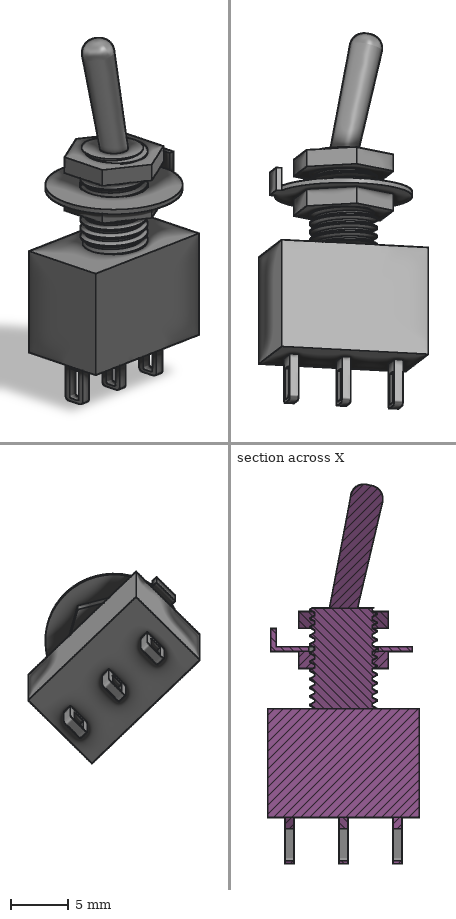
import cadquery as cq
import math


HOUSING_X = 7.95
HOUSING_Y = 13.2
HOUSING_Z = 9.5

TERMINAL_COUNT = 3
TERMINAL_SPACING = 4.7
TERMINAL_WIDTH = 2.1
TERMINAL_THICKNESS = 0.8
TERMINAL_LENGTH = 4.05
TERMINAL_CORNER_RADIUS = 0.4
SLOT_WIDTH = 1.1
SLOT_TOP_MARGIN = 1.0
SLOT_BOTTOM_MARGIN = 0.3
SLOT_CORNER_RADIUS = 0.2

BUSHING_LENGTH = 8.77
THREAD_ROOT_DIAMETER = 5.03
THREAD_CREST_DIAMETER = 5.9
THREAD_TURNS = 14
THREAD_LENGTH = 10.55
THREAD_PITCH = THREAD_LENGTH / THREAD_TURNS
THREAD_CREST_WIDTH = THREAD_PITCH / 8
THREAD_BASE_WIDTH = THREAD_PITCH * 3 / 4
THREAD_START = -0.63
THREAD_EMBED = 0.1

NUT_SIDES = 6
NUT_ACROSS_FLATS = 7.8
NUT_THICKNESS = 1.5
LOWER_NUT_HEIGHT = 3.48
UPPER_NUT_HEIGHT = 7.0

WASHER_DIAMETER = 12.0
WASHER_BORE_DIAMETER = 6.0
WASHER_THICKNESS = 0.43
TAB_WIDTH = 2.35
TAB_THICKNESS = 0.5
TAB_HEIGHT = 2.02
TAB_OUTER_Y = 6.35

LEVER_TILT = 12.0
LEVER_BASE_DIAMETER = 2.45
LEVER_TOP_DIAMETER = 2.88
LEVER_TIP_DIAMETER = 0.45
OVERALL_HEIGHT = 33.1

BUSHING_TOP = HOUSING_Z + BUSHING_LENGTH
LOWER_NUT_BOTTOM = HOUSING_Z + LOWER_NUT_HEIGHT
WASHER_BOTTOM = LOWER_NUT_BOTTOM + NUT_THICKNESS
UPPER_NUT_BOTTOM = HOUSING_Z + UPPER_NUT_HEIGHT


def make_housing():
    return cq.Workplane("XY").box(HOUSING_X, HOUSING_Y, HOUSING_Z, centered=(True, True, False))


def make_terminal(y):
    """Flat terminal hanging below the housing, slotted along Y and rounded at its lower end."""
    slot_height = TERMINAL_LENGTH - SLOT_TOP_MARGIN - SLOT_BOTTOM_MARGIN
    blade = (
        cq.Workplane("XY")
        .box(TERMINAL_WIDTH, TERMINAL_THICKNESS, TERMINAL_LENGTH, centered=(True, True, False))
        .edges("|Y and <Z")
        .fillet(TERMINAL_CORNER_RADIUS)
    )
    slot = (
        cq.Workplane("XY")
        .box(SLOT_WIDTH, TERMINAL_THICKNESS, slot_height, centered=(True, True, False))
        .edges("|Y and <Z")
        .fillet(SLOT_CORNER_RADIUS)
        .translate((0, 0, SLOT_BOTTOM_MARGIN))
    )
    return blade.cut(slot).translate((0, y, -TERMINAL_LENGTH))


def make_bushing():
    """Cylindrical core with a right-hand helical ridge, trimmed flat at both ends."""
    root_radius = THREAD_ROOT_DIAMETER / 2
    crest_radius = THREAD_CREST_DIAMETER / 2
    inner_radius = root_radius - THREAD_EMBED
    flank_slope = (THREAD_BASE_WIDTH - THREAD_CREST_WIDTH) / 2 / (crest_radius - root_radius)
    inner_half_width = THREAD_BASE_WIDTH / 2 + flank_slope * THREAD_EMBED

    helix = cq.Wire.makeHelix(THREAD_PITCH, THREAD_LENGTH, root_radius)
    ridge = (
        cq.Workplane("XZ")
        .polyline(
            [
                (inner_radius, -inner_half_width),
                (crest_radius, -THREAD_CREST_WIDTH / 2),
                (crest_radius, THREAD_CREST_WIDTH / 2),
                (inner_radius, inner_half_width),
            ]
        )
        .close()
        .sweep(cq.Workplane(helix), isFrenet=True)
        .translate((0, 0, THREAD_START))
    )
    core = cq.Workplane("XY").circle(root_radius).extrude(2 * BUSHING_LENGTH, both=True)
    trim = cq.Workplane("XY").circle(THREAD_CREST_DIAMETER).extrude(BUSHING_LENGTH)
    return core.union(ridge).intersect(trim).translate((0, 0, HOUSING_Z))


def make_nut(bottom, threaded_shaft):
    """Hexagon nut with corners on the X axis and a threaded hole that matches the bushing."""
    across_corners = NUT_ACROSS_FLATS / math.cos(math.pi / NUT_SIDES)
    return (
        cq.Workplane("XY")
        .workplane(offset=bottom)
        .polygon(NUT_SIDES, across_corners)
        .extrude(NUT_THICKNESS)
        .cut(threaded_shaft)
    )


def make_washer():
    """Thin ring with a rectangular tab standing up at its +Y edge."""
    ring = (
        cq.Workplane("XY")
        .circle(WASHER_DIAMETER / 2)
        .circle(WASHER_BORE_DIAMETER / 2)
        .extrude(WASHER_THICKNESS)
    )
    tab = (
        cq.Workplane("XY")
        .box(TAB_WIDTH, TAB_THICKNESS, TAB_HEIGHT, centered=(True, True, False))
        .translate((0, TAB_OUTER_Y - TAB_THICKNESS / 2, 0))
    )
    return ring.union(tab).translate((0, 0, WASHER_BOTTOM))


def make_lever():
    """Tilted tapered lever with a domed end, cut off flush with the bushing top."""
    tilt = math.radians(LEVER_TILT)
    base_radius = LEVER_BASE_DIAMETER / 2
    top_radius = LEVER_TOP_DIAMETER / 2
    tip_radius = LEVER_TIP_DIAMETER / 2
    dome_radius = top_radius - tip_radius

    lever_top = OVERALL_HEIGHT - TERMINAL_LENGTH
    rise = lever_top - BUSHING_TOP
    shaft_length = (rise - dome_radius - tip_radius * math.sin(tilt)) / math.cos(tilt)

    taper = (top_radius - base_radius) / shaft_length
    root_length = LEVER_BASE_DIAMETER
    root_radius = base_radius - taper * root_length
    dome_mid = dome_radius * math.sin(math.radians(45))

    lever = (
        cq.Workplane("XZ")
        .moveTo(0, -root_length)
        .lineTo(root_radius, -root_length)
        .lineTo(top_radius, shaft_length)
        .threePointArc(
            (tip_radius + dome_mid, shaft_length + dome_mid),
            (tip_radius, shaft_length + dome_radius),
        )
        .lineTo(0, shaft_length + dome_radius)
        .close()
        .revolve(360, (0, 0, 0), (0, 1, 0))
        .rotate((0, 0, 0), (1, 0, 0), LEVER_TILT)
    )
    below = cq.Workplane("XY").circle(2 * LEVER_BASE_DIAMETER).extrude(-2 * root_length)
    return lever.cut(below).translate((0, 0, BUSHING_TOP))


housing = make_housing()
bushing = make_bushing()
lever = make_lever()
washer = make_washer()
nuts = [make_nut(bottom, bushing) for bottom in (LOWER_NUT_BOTTOM, UPPER_NUT_BOTTOM)]
terminals = [
    make_terminal((index - (TERMINAL_COUNT - 1) / 2) * TERMINAL_SPACING)
    for index in range(TERMINAL_COUNT)
]

bodies = [housing, bushing, lever, washer, *nuts, *terminals]
result = cq.Compound.makeCompound([body.solids().val() for body in bodies])